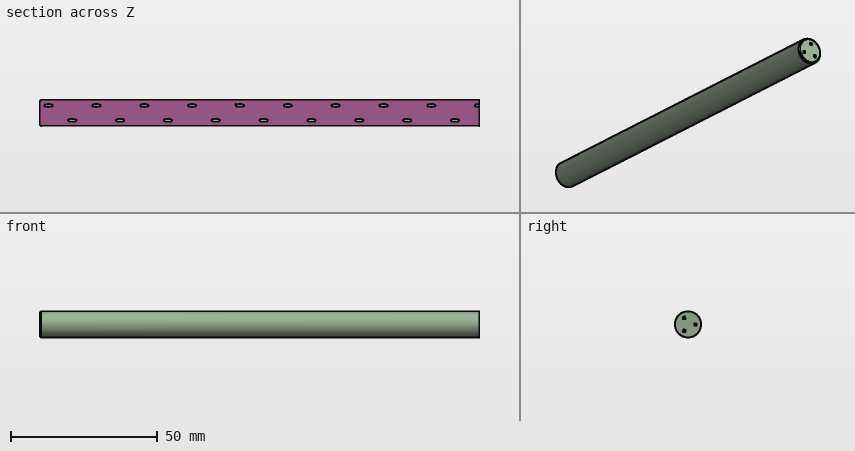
import cadquery as cq
import math

rod_diameter = 9.0
rod_length = 150.0
chamfer_size = rod_diameter / 20
channel_diameter = rod_diameter / 10
channel_circle_radius = 2.55
channel_count = 3
first_channel_angle = 98.0
helix_angle = 30.0

channel_lead = math.pi * rod_diameter / math.tan(math.radians(helix_angle))
channel_twist = 360.0 * rod_length / channel_lead


def end_plane():
    """Sketch plane on the -X end face, looking along the rod axis."""
    return cq.Workplane("YZ", origin=(-rod_length / 2, 0, 0))


def rod():
    """Round bar centred on the origin, chamfered at the -X end."""
    bar = end_plane().circle(rod_diameter / 2).extrude(rod_length)
    return bar.faces("<X").edges().chamfer(chamfer_size)


def channel_centres():
    """Evenly spaced (y, z) channel positions on the -X end face."""
    centres = []
    for index in range(channel_count):
        angle = math.radians(first_channel_angle + index * 360.0 / channel_count)
        y = channel_circle_radius * math.cos(angle)
        z = channel_circle_radius * math.sin(angle)
        centres.append((y, z))
    return centres


def helical_channels():
    """Channels that wind around the axis through the full rod length."""
    profile = end_plane().pushPoints(channel_centres()).circle(channel_diameter / 2)
    return profile.twistExtrude(rod_length, channel_twist)


result = rod().cut(helical_channels()).solids()